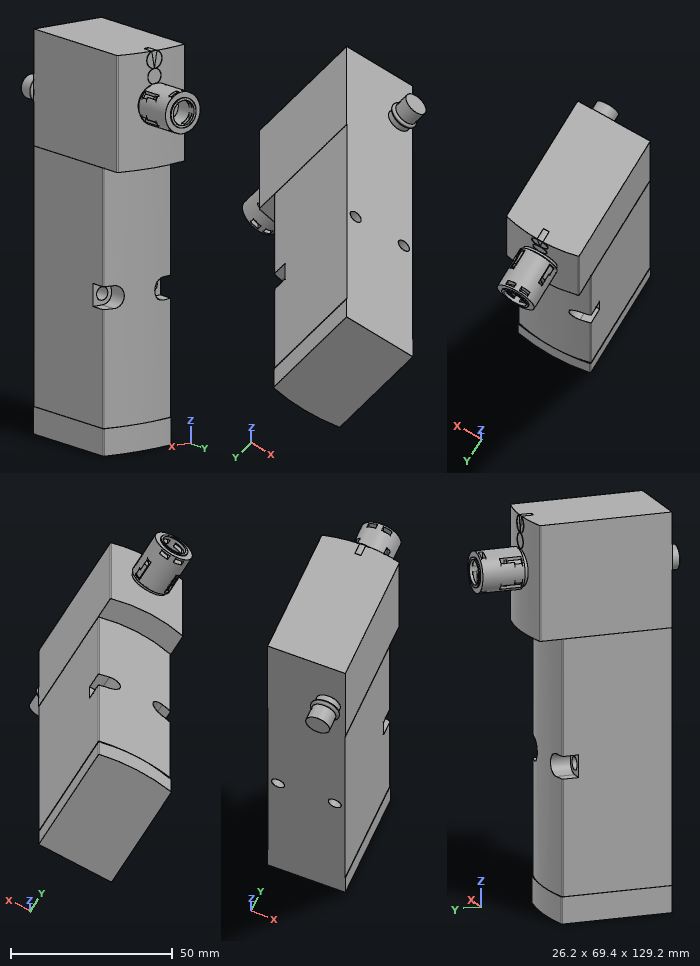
import cadquery as cq

cap_width = 26.2
head_width = 26.1
body_width = 26.0
corner_radius = 0.4
cap_height = 8.8
head_bottom = 91.75
head_top = 129.0
head_depth = 45.35
body_depth = 37.9
rear_bulge = 1.6
cap_bulge = 1.25

mount_hole_diameter = 4.3
mount_hole_spacing = 19.0
mount_height = 50.3
counterbore_diameter = 7.3
counterbore_floor = 31.0

disc_length = 4.0
disc_protrusion = 0.1
lens_diameter = 5.8
lens_rise = 0.18
lens_height = head_top + lens_rise - lens_diameter / 2
button_diameter = 5.0
button_height = lens_height - (lens_diameter + button_diameter) / 2
disc_end = head_depth + disc_protrusion
disc_start = disc_end - disc_length

plug_x = 7.4
plug_z = 108.2
plug_diameter = 8.0
plug_length = 8.75
bead_radius = 0.8
bead_offset = 2.85

connector_z = 112.2
stub_diameter = 12.0
stub_end = 52.4
stub_chamfer = 0.8
stub_root = 40.0

sleeve_diameter = 13.4
sleeve_start = 46.3
sleeve_end = 60.25
lip_end = 60.65
lip_diameter = 9.6
sleeve_bore = 8.0

slot_inner = 4.5
slot_outer = 5.65
slot_start = 46.9
slot_end = 53.9
slot_step = 49.4
slot_wide_outer = 5.95
window_inner = 1.0
window_outer = 3.9
window_start = 58.2
window_end = 59.6


def bowed_block(width, depth, bulge, bottom, top):
    """Block with a flat front at Y = 0 and an outward-curved rear face with rounded corners."""
    half = width / 2
    return (
        cq.Workplane("XY", origin=(0, 0, bottom))
        .moveTo(-half, 0)
        .lineTo(half, 0)
        .lineTo(half, depth - bulge)
        .threePointArc((0, depth), (-half, depth - bulge))
        .close()
        .extrude(top - bottom)
        .edges("|Z").edges(">Y")
        .fillet(corner_radius)
    )


def rod(x, z, diameter, start, end):
    """Cylinder along Y from start to end."""
    return (
        cq.Workplane("XZ", origin=(x, start, z))
        .circle(diameter / 2)
        .extrude(start - end)
    )


def box_between(x_start, x_end, y_start, y_end, z_start, z_end):
    """Box spanning the given ranges."""
    return cq.Workplane("XY").box(
        x_end - x_start, y_end - y_start, z_end - z_start, centered=False
    ).translate((x_start, y_start, z_start))


def mount_cut():
    """Left mounting hole with its rear counterbore slot, open to the left side."""
    hole_x = -mount_hole_spacing / 2
    radius = counterbore_diameter / 2
    hole = rod(hole_x, mount_height, mount_hole_diameter, 0, body_depth)
    seat = rod(hole_x, mount_height, counterbore_diameter, counterbore_floor, body_depth)
    side_opening = box_between(
        -head_width / 2, hole_x,
        counterbore_floor, body_depth,
        mount_height - radius, mount_height + radius,
    )
    return hole.union(seat).union(side_opening)


def make_plug():
    """Front plug with a bead of round section around it."""
    plug = rod(plug_x, plug_z, plug_diameter, -plug_length, 0)
    bead = cq.Workplane(
        cq.Solid.makeTorus(
            plug_diameter / 2, bead_radius,
            cq.Vector(plug_x, -bead_offset, plug_z), cq.Vector(0, 1, 0),
        )
    )
    return plug.union(bead)


def make_housing():
    cap = bowed_block(cap_width, body_depth, cap_bulge, 0, cap_height)
    body = bowed_block(body_width, body_depth, rear_bulge, cap_height, head_bottom)
    head = bowed_block(head_width, head_depth, rear_bulge, head_bottom, head_top)
    housing = cap.union(body).union(head)

    left_cut = mount_cut()
    housing = housing.cut(left_cut).cut(left_cut.mirror("YZ"))

    lens = rod(0, lens_height, lens_diameter, disc_start, disc_end)
    button = rod(0, button_height, button_diameter, disc_start, disc_end)
    stub = rod(0, connector_z, stub_diameter, stub_root, stub_end).faces(">Y").chamfer(stub_chamfer)
    return housing.union(lens).union(button).union(stub).union(make_plug())


def sleeve_cut(inner, outer, start, end):
    """Pair of mirrored boxes cutting through the sleeve along Z."""
    reach = sleeve_diameter / 2
    right_box = box_between(
        inner, outer, start, end, connector_z - reach, connector_z + reach
    )
    return right_box.union(right_box.mirror("YZ"))


def make_sleeve():
    sleeve = rod(0, connector_z, sleeve_diameter, sleeve_start, sleeve_end)
    sleeve = sleeve.union(rod(0, connector_z, lip_diameter, sleeve_end, lip_end))
    sleeve = sleeve.cut(rod(0, connector_z, stub_diameter, sleeve_start, stub_end))
    sleeve = sleeve.cut(rod(0, connector_z, sleeve_bore, sleeve_start, lip_end))
    sleeve = sleeve.cut(sleeve_cut(slot_inner, slot_outer, slot_start, slot_end))
    sleeve = sleeve.cut(sleeve_cut(slot_inner, slot_wide_outer, slot_start, slot_step))
    return sleeve.cut(sleeve_cut(window_inner, window_outer, window_start, window_end))


housing = make_housing()
sleeve = make_sleeve()
result = cq.Compound.makeCompound([housing.solids().val(), sleeve.solids().val()])